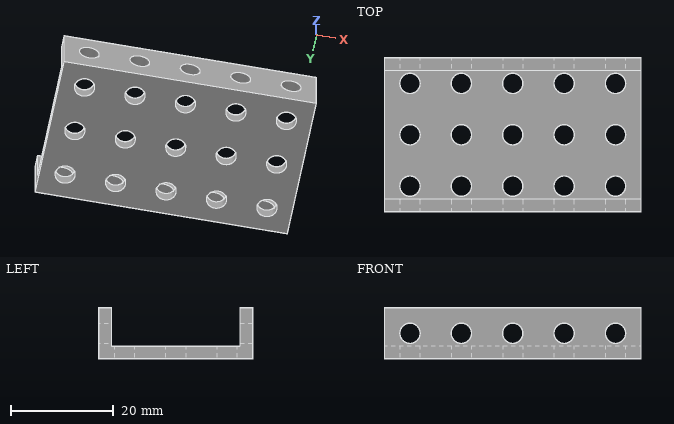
import cadquery as cq

pitch = 10.0
columns = 5
rows = 3
wall = 2.5
hole_diameter = 3.9

length = columns * pitch
width = rows * pitch
height = pitch


def channel():
    """U channel running along X, open at the top and centred on the origin."""
    body = cq.Workplane("XY").box(length, width, height)
    inner_width = width - 2 * wall
    cavity = (
        cq.Workplane("XY")
        .box(length, inner_width, height)
        .translate((0, 0, wall))
    )
    return body.cut(cavity)


def floor_holes():
    """Grid of vertical pins that pierce the floor."""
    return (
        cq.Workplane("XY")
        .rarray(pitch, pitch, columns, rows)
        .circle(hole_diameter / 2)
        .extrude(height, both=True)
    )


def flange_holes():
    """Row of pins along Y at mid height that pierce both flanges."""
    return (
        cq.Workplane("XZ")
        .rarray(pitch, pitch, columns, 1)
        .circle(hole_diameter / 2)
        .extrude(width, both=True)
    )


result = channel().cut(floor_holes()).cut(flange_holes())